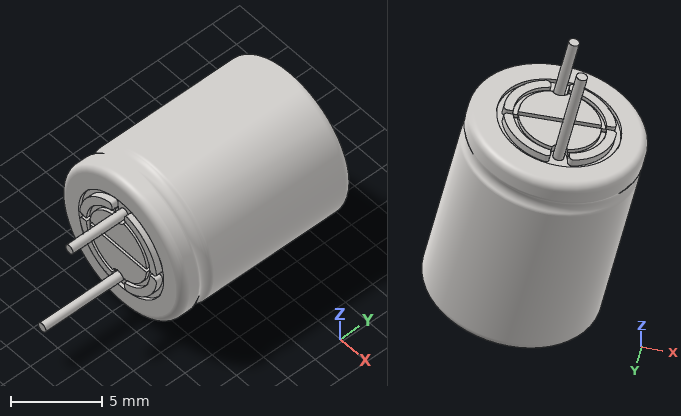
import cadquery as cq
import math

OVERALL_LENGTH = 18.3

CAN_DIAMETER = 10.15
CAN_LENGTH = 12.5
CAN_EDGE_RADIUS = 0.51
CRIMP_CENTER = 1.74
CRIMP_WIDTH = 1.12
CRIMP_DEPTH = 0.18
CRIMP_SHARE = 0.69

SEAL_DIAMETER = 7.03
SEAL_RECESS = 0.24

PAD_DIAMETER = 6.37
PAD_PROTRUSION = 0.22
PAD_GAP = 0.27
PAD_CORNER_RADIUS = 0.22
RING_GROOVE_OUTER_DIAMETER = 5.25
RING_GROOVE_INNER_DIAMETER = 4.68
RING_GROOVE_DEPTH = 0.24
LEAD_SLOT_WIDTH = 1.05
LEAD_CLEARANCE_DIAMETER = 0.97

LEAD_DIAMETER = 0.62
LEAD_SPACING = 5.0
LONG_LEAD = OVERALL_LENGTH - CAN_LENGTH
SHORT_LEAD = 3.8


def plane_at(y):
    """Workplane across the can axis at the given y, with its normal toward -Y."""
    return cq.Workplane("XZ", origin=(0, y, 0))


def make_can():
    """Turned can with rounded ends and a smoothly rolled crimp groove."""
    radius = CAN_DIAMETER / 2
    half_width = CRIMP_WIDTH / 2
    bottom = radius - CRIMP_DEPTH

    slope = 2 * math.atan(CRIMP_DEPTH / half_width)
    hollow_radius = CRIMP_SHARE * half_width / math.sin(slope)
    blend_radius = (1 - CRIMP_SHARE) * half_width / math.sin(slope)
    blend_offset = CRIMP_SHARE * half_width
    blend_r = bottom + hollow_radius * (1 - math.cos(slope))
    mid_offset = half_width - blend_radius * math.sin(slope / 2)
    mid_r = radius - blend_radius * (1 - math.cos(slope / 2))

    profile = (
        cq.Workplane("XY")
        .lineTo(radius, 0)
        .lineTo(radius, CRIMP_CENTER - half_width)
        .threePointArc((mid_r, CRIMP_CENTER - mid_offset), (blend_r, CRIMP_CENTER - blend_offset))
        .threePointArc((bottom, CRIMP_CENTER), (blend_r, CRIMP_CENTER + blend_offset))
        .threePointArc((mid_r, CRIMP_CENTER + mid_offset), (radius, CRIMP_CENTER + half_width))
        .lineTo(radius, CAN_LENGTH)
        .lineTo(0, CAN_LENGTH)
        .close()
    )
    can = profile.revolve(360, (0, 0, 0), (0, 1, 0))
    can = can.faces("<Y or >Y").edges().fillet(CAN_EDGE_RADIUS)
    return can.cut(plane_at(SEAL_RECESS).circle(SEAL_DIAMETER / 2).extrude(SEAL_RECESS))


def make_pads():
    """Both half-round pads, each with a ring groove and room for its lead."""
    height = SEAL_RECESS + PAD_PROTRUSION
    seal = plane_at(SEAL_RECESS)
    pads = seal.circle(PAD_DIAMETER / 2).extrude(height)
    pads = pads.cut(seal.rect(CAN_DIAMETER, PAD_GAP).extrude(height))

    slots = seal.rect(LEAD_SLOT_WIDTH, CAN_DIAMETER).extrude(height)
    slots = slots.cut(seal.circle(RING_GROOVE_OUTER_DIAMETER / 2).extrude(height))
    pads = pads.cut(slots)

    inner_reach = RING_GROOVE_OUTER_DIAMETER / 2 + PAD_CORNER_RADIUS
    rim_corners = []
    for edge in pads.edges("|Y").vals():
        middle = edge.Center()
        if math.hypot(middle.x, middle.z) > inner_reach:
            rim_corners.append(edge)
    pads = pads.newObject(rim_corners).fillet(PAD_CORNER_RADIUS)

    groove = (
        plane_at(RING_GROOVE_DEPTH - PAD_PROTRUSION)
        .circle(RING_GROOVE_OUTER_DIAMETER / 2)
        .circle(RING_GROOVE_INNER_DIAMETER / 2)
        .extrude(RING_GROOVE_DEPTH)
    )
    clearances = (
        seal.pushPoints([(0, LEAD_SPACING / 2), (0, -LEAD_SPACING / 2)])
        .circle(LEAD_CLEARANCE_DIAMETER / 2)
        .extrude(height)
    )
    return pads.cut(groove).cut(clearances)


def make_lead(z, length):
    """Round lead rising from the seal and ending length beyond the can."""
    return plane_at(SEAL_RECESS).center(0, z).circle(LEAD_DIAMETER / 2).extrude(SEAL_RECESS + length)


result = (
    make_can()
    .union(make_pads())
    .union(make_lead(LEAD_SPACING / 2, SHORT_LEAD))
    .union(make_lead(-LEAD_SPACING / 2, LONG_LEAD))
)